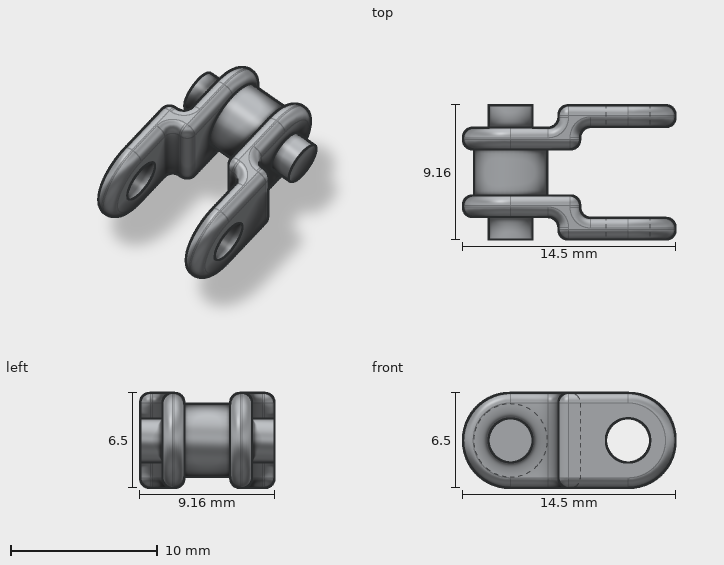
import cadquery as cq

length = 14.5
height = 6.5
width = 9.16
plate_thickness = 1.5
inner_gap = 3.12
edge_radius = 0.7
pin_diameter = 3.0
roller_diameter = 5.0

pitch = length - height
pin_x = -pitch / 2
hole_x = pitch / 2
outer_y = width / 2
wide_inner_y = outer_y - plate_thickness
inner_y = inner_gap / 2
narrow_outer_y = inner_y + plate_thickness
half_step = plate_thickness / 2


def cylinder_y(diameter, x, span):
    """Cylinder along Y, centred on the XZ plane."""
    return cq.Workplane("XZ").center(x, 0).circle(diameter / 2).extrude(span / 2, both=True)


def corner_edge(body, x, y):
    """Select the vertical edge of the step that passes through (x, y)."""
    return body.edges("|Z").edges(cq.selectors.NearestToPointSelector((x, y, 0)))


def side_plate():
    """Stepped plate on the +Y side, with rounded ends and rounded edges."""
    strip = (
        cq.Workplane("XY")
        .moveTo(-length / 2, inner_y)
        .lineTo(half_step, inner_y)
        .lineTo(half_step, wide_inner_y)
        .lineTo(length / 2, wide_inner_y)
        .lineTo(length / 2, outer_y)
        .lineTo(-half_step, outer_y)
        .lineTo(-half_step, narrow_outer_y)
        .lineTo(-length / 2, narrow_outer_y)
        .close()
        .extrude(height / 2, both=True)
    )
    for x, y in ((-half_step, narrow_outer_y), (half_step, wide_inner_y)):
        strip = corner_edge(strip, x, y).fillet(edge_radius)

    outline = cq.Workplane("XZ").slot2D(length, height).extrude(width, both=True)
    plate = strip.intersect(outline)

    rims = plate.edges("not |Z")
    corners = corner_edge(plate, half_step, inner_y).add(corner_edge(plate, -half_step, outer_y))
    plate = rims.add(corners).fillet(edge_radius)
    return plate.cut(cylinder_y(pin_diameter, hole_x, width))


upper_plate = side_plate()
lower_plate = upper_plate.mirror("XZ")
roller = cylinder_y(roller_diameter, pin_x, inner_gap)
pin = cylinder_y(pin_diameter, pin_x, width)

result = upper_plate.union(lower_plate).union(roller).union(pin)